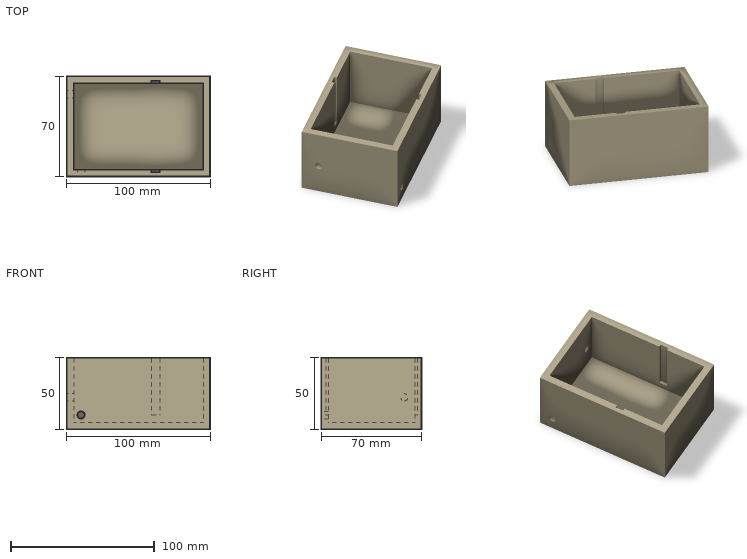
import cadquery as cq

length = 100.0
width = 70.0
height = 50.0
wall = 5.0
floor = 5.0

slot_width = 6.0
slot_depth = 2.0
slot_center_x = 12.0
slot_bottom_z = 10.0

hole_diameter = 5.0
front_hole_x = -40.0
front_hole_z = 10.0
side_hole_y = 22.66
side_hole_z = 22.5


def make_box():
    """Rectangular shell with a floor and no lid."""
    block = cq.Workplane("XY").box(length, width, height, centered=(True, True, False))
    cavity = (
        cq.Workplane("XY")
        .workplane(offset=floor)
        .rect(length - 2 * wall, width - 2 * wall)
        .extrude(height - floor)
    )
    return block.cut(cavity)


def make_slots():
    """One bar spanning the cavity that notches both long walls equally."""
    slot_span = width - 2 * wall + 2 * slot_depth
    return (
        cq.Workplane("XY")
        .workplane(offset=slot_bottom_z)
        .center(slot_center_x, 0)
        .rect(slot_width, slot_span)
        .extrude(height - slot_bottom_z)
    )


def make_wall_hole(start, direction):
    """Cylinder running inward from the outer face through one wall."""
    return cq.Workplane(
        cq.Solid.makeCylinder(hole_diameter / 2, wall, cq.Vector(*start), cq.Vector(*direction))
    )


front_hole = make_wall_hole((front_hole_x, -width / 2, front_hole_z), (0, 1, 0))
side_hole = make_wall_hole((-length / 2, side_hole_y, side_hole_z), (1, 0, 0))

result = make_box().cut(make_slots()).cut(front_hole).cut(side_hole)